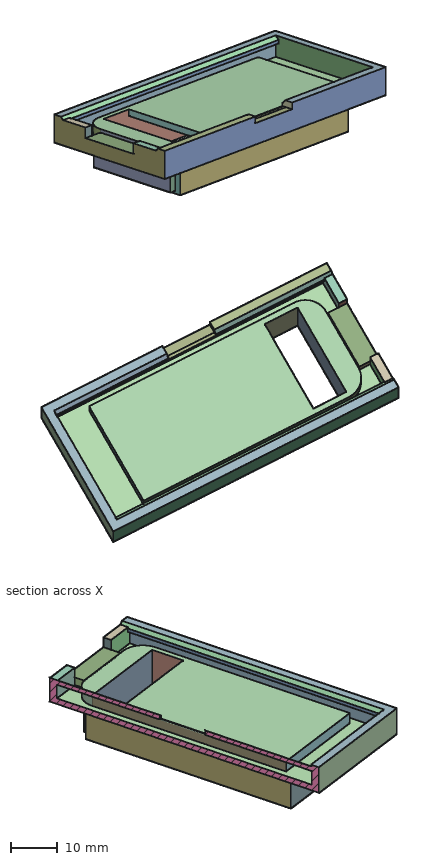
import cadquery as cq
width = 32.4
length = 69.5
height = 13.5

tray_height = 6.45
wall = 2.0
floor_thickness = 1.5

lip_reach = 0.8
lip_slope_height = 0.8
lip_height = 1.7

notch_length = 11.55
notch_center_y = -0.5
notch_depth = 1.5

stop_width = 7.15
stop_drop = 0.6
sill_drop = 3.05
sill_length = 4.65

hood_width = 24.6
hood_drop = 2.4
hood_front_inset = 5.0
hood_back_inset = 9.5
hood_corner_radius = 5.0
hood_roof = 1.5

frame_width = 25.4
frame_front_inset = 8.6
frame_back_inset = 8.0
tongue_width = 22.4
tongue_length = 1.45
tongue_bottom = 0.6

window_width = 21.95
window_length = 8.0
window_front_inset = 9.95
cavity_back_wall = 1.5

front_y = -length / 2
back_y = length / 2
tray_bottom = height - tray_height
floor_top = tray_bottom + floor_thickness
inner_width = width - 2 * wall
inner_x = inner_width / 2
hood_top = height - hood_drop


def block(size_x, y_start, y_end, z_start, z_end, center_x=0):
    """Box given by its width and its Y and Z extents."""
    return (
        cq.Workplane("XY")
        .box(size_x, y_end - y_start, z_end - z_start, centered=(True, False, False))
        .translate((center_x, y_start, z_start))
    )


def make_tray():
    """Open-topped tray with no wall at the front end."""
    outer = block(width, front_y, back_y, tray_bottom, height)
    return outer.cut(block(inner_width, front_y, back_y - wall, floor_top, height))


def make_lip(side):
    """Lip along one long wall: sloped on top, flat underneath; side is -1 or 1."""
    root_x = side * inner_x
    tip_x = side * (inner_x - lip_reach)
    profile = [
        (root_x, height),
        (tip_x, height - lip_slope_height),
        (tip_x, height - lip_height),
        (root_x, height - lip_height),
    ]
    return (
        cq.Workplane("XZ", origin=(0, back_y - wall, 0))
        .polyline(profile)
        .close()
        .extrude(length - wall)
    )


def make_stop(side):
    """Corner block closing one side of the open front end."""
    center_x = side * (inner_x - stop_width / 2)
    return block(stop_width, front_y, front_y + wall, floor_top, height - stop_drop, center_x)


def make_sill():
    """Low step across the middle of the front end."""
    sill_width = inner_width - 2 * stop_width
    return block(sill_width, front_y, front_y + sill_length, floor_top, height - sill_drop)


def make_hood():
    """Raised block on the floor with its two front corners rounded."""
    hood = block(hood_width, front_y + hood_front_inset, back_y - hood_back_inset, floor_top, hood_top)
    return hood.edges("|Z and <Y").fillet(hood_corner_radius)


def make_frame():
    """Lower box with the tongue standing out of its front end."""
    frame_front = front_y + frame_front_inset
    frame = block(frame_width, frame_front, back_y - frame_back_inset, 0, tray_bottom)
    return frame.union(
        block(tongue_width, frame_front - tongue_length, frame_front, tongue_bottom, tray_bottom)
    )


def make_cavity():
    """Space open at the bottom that reaches up to the hood roof."""
    cavity_back = back_y - hood_back_inset - cavity_back_wall
    return block(window_width, front_y + window_front_inset, cavity_back, 0, hood_top - hood_roof)


def make_window():
    """Opening from the cavity up through the hood roof."""
    window_front = front_y + window_front_inset
    return block(window_width, window_front, window_front + window_length, 0, hood_top)


def make_notch():
    """Cut through the top of the +X wall and its lip."""
    notch_width = wall + lip_reach
    return block(
        notch_width,
        notch_center_y - notch_length / 2,
        notch_center_y + notch_length / 2,
        height - notch_depth,
        height,
        width / 2 - notch_width / 2,
    )


result = make_tray()
for side in (-1, 1):
    result = result.union(make_lip(side)).union(make_stop(side))
result = result.union(make_sill()).union(make_hood()).union(make_frame())
result = result.cut(make_cavity()).cut(make_window()).cut(make_notch())